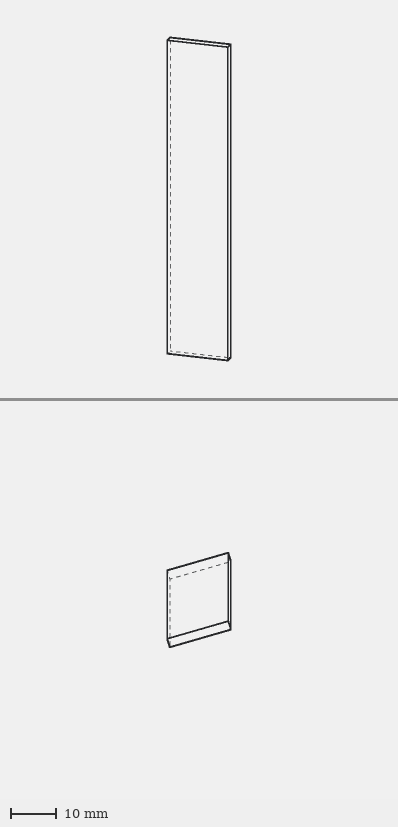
import cadquery as cq

WIDTH = 14.0
THICKNESS = 2.0
HEIGHT = 73.0
TURN_DEG = -1.85

strip = cq.Workplane("XY").box(WIDTH, THICKNESS, HEIGHT)
result = strip.rotate((0, 0, 0), (0, 0, 1), TURN_DEG)